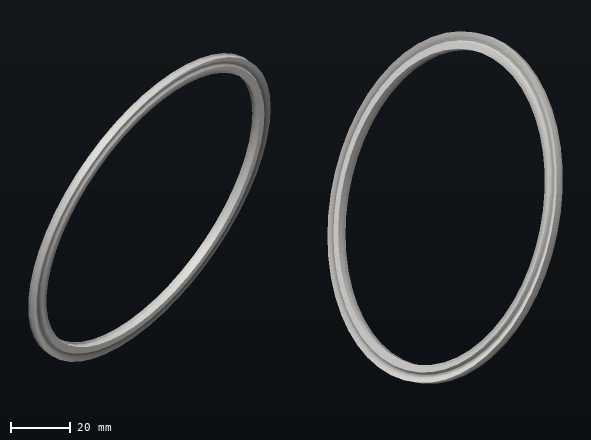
import cadquery as cq

outer_radius = 59.9
bore_radius = 53.9
lip_width = 3.2
lip_half_width = lip_width / 2
rim_half_width = 1.3

lip_radius = 56.4
groove_floor_inner_radius = 57.0
groove_floor_outer_radius = 57.6
web_half_width = 0.54

half_section = [
    (lip_half_width, bore_radius),
    (lip_half_width, lip_radius),
    (web_half_width, groove_floor_inner_radius),
    (web_half_width, groove_floor_outer_radius),
    (rim_half_width, outer_radius),
]
mirrored_half = [(-x, radius) for x, radius in reversed(half_section)]

result = (
    cq.Workplane("XY")
    .polyline(half_section + mirrored_half)
    .close()
    .revolve(360, (0, 0, 0), (1, 0, 0))
)